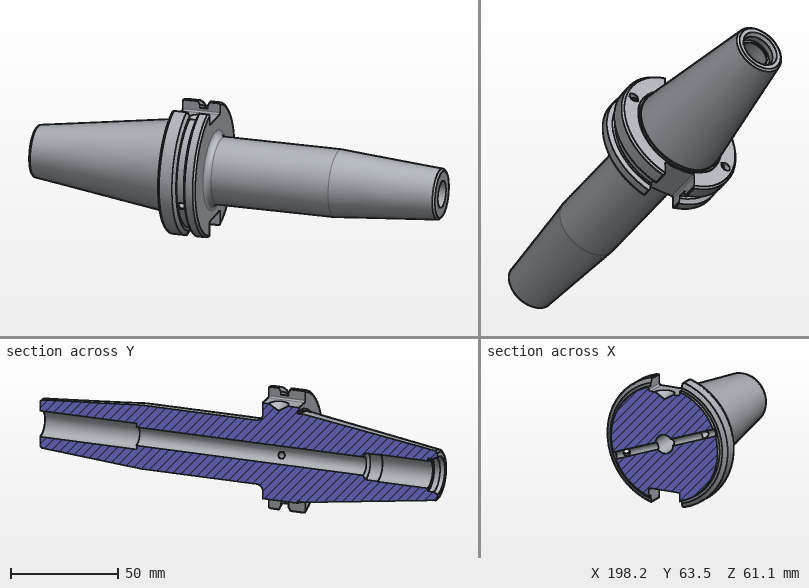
import cadquery as cq
import math

TOTAL_LENGTH = 198.25
GAUGE_X = 68.25
FLANGE_START_X = 69.0
FLANGE_END_X = GAUGE_X + 19.05
GROOVE_CENTER_X = GAUGE_X + 11.1

GAUGE_RADIUS = 44.45 / 2
TAPER_SLOPE = 7 / 24 / 2
TAPER_END_CHAMFER = 0.9
NECK_RADIUS = 43.8 / 2
FACE_RECESS_RADIUS = 46.2 / 2
FACE_RECESS_DEPTH = 0.8

FLANGE_RADIUS = 63.5 / 2
FLANGE_CHAMFER = 1.0
GROOVE_ROOT_RADIUS = 56.25 / 2
GROOVE_ROOT_WIDTH = 3.75
GROOVE_WALL_ANGLE = 30
GROOVE_V_DEPTH = 2.2

SLOT_WIDTH = 16.1
SLOT_FLOOR_FILLET = 0.8
SLOT_RIM_CHAMFER = 0.6
UPPER_SLOT_FLOOR_Z = 25.0
LOWER_SLOT_FLOOR_Z = -22.8
DIMPLE_DIAMETER = 9.53
DRILL_POINT_ANGLE = 118

SHANK_RADIUS = 32 / 2
SHANK_FILLET = 3.0
NOSE_END_RADIUS = 24 / 2
NOSE_ANGLE = 4.5
NOSE_CHAMFER = 1.0

PILOT_DIAMETER = 16.3
PILOT_DEPTH = 4.8
PILOT_CHAMFER_HEIGHT = 1.1
PILOT_CHAMFER_ANGLE = 30
THREAD_MOUTH_DIAMETER = 13.9
THREAD_DIAMETER = 13.39
THREAD_END_X = 30.0
THREAD_DRILL_DIAMETER = 13.0
THREAD_DRILL_END_X = 36.0
COOLANT_BORE_DIAMETER = 8.92
TOOL_BORE_DIAMETER = 12.7
TOOL_BORE_DEPTH = 48.0

ENTRY_DIAMETER = 4.2
ENTRY_DEPTH = 2.0
CHANNEL_FACE_RADIUS = 27.1
CHANNEL_TILT = 30
PLUG_MOUTH_DIAMETER = 4.0
PLUG_CORE_DIAMETER = 3.24
CHANNEL_ROLL_ANGLES = (20, 200)


def taper_radius(x):
    return GAUGE_RADIUS - TAPER_SLOPE * (GAUGE_X - x)


def cone_length(radius_change):
    return radius_change / math.tan(math.radians(DRILL_POINT_ANGLE / 2))


def make_outer_body():
    wall_run = GROOVE_V_DEPTH * math.tan(math.radians(GROOVE_WALL_ANGLE))
    half_root = GROOVE_ROOT_WIDTH / 2
    half_mouth = half_root + wall_run
    recess_floor_x = FLANGE_START_X + FACE_RECESS_DEPTH
    groove_v_bottom = FLANGE_RADIUS - GROOVE_V_DEPTH
    rim_chamfer_radius = FLANGE_RADIUS - FLANGE_CHAMFER
    nose_length = (SHANK_RADIUS - NOSE_END_RADIUS) / math.tan(math.radians(NOSE_ANGLE))
    chamfer_start_x = TOTAL_LENGTH - NOSE_CHAMFER
    nose_chamfer_radius = NOSE_END_RADIUS + NOSE_CHAMFER * math.tan(math.radians(NOSE_ANGLE))
    fillet_end = (FLANGE_END_X + SHANK_FILLET, SHANK_RADIUS)
    fillet_offset = SHANK_FILLET * (1 - math.sqrt(0.5))
    fillet_middle = (FLANGE_END_X + fillet_offset, SHANK_RADIUS + fillet_offset)
    profile = (
        cq.Workplane("XZ")
        .moveTo(0, 0)
        .lineTo(0, taper_radius(0) - TAPER_END_CHAMFER)
        .lineTo(TAPER_END_CHAMFER, taper_radius(TAPER_END_CHAMFER))
        .lineTo(GAUGE_X, GAUGE_RADIUS)
        .lineTo(GAUGE_X, NECK_RADIUS)
        .lineTo(recess_floor_x, NECK_RADIUS)
        .lineTo(recess_floor_x, FACE_RECESS_RADIUS)
        .lineTo(FLANGE_START_X, FACE_RECESS_RADIUS)
        .lineTo(FLANGE_START_X, rim_chamfer_radius)
        .lineTo(FLANGE_START_X + FLANGE_CHAMFER, FLANGE_RADIUS)
        .lineTo(GROOVE_CENTER_X - half_mouth, FLANGE_RADIUS)
        .lineTo(GROOVE_CENTER_X - half_root, groove_v_bottom)
        .lineTo(GROOVE_CENTER_X - half_root, GROOVE_ROOT_RADIUS)
        .lineTo(GROOVE_CENTER_X + half_root, GROOVE_ROOT_RADIUS)
        .lineTo(GROOVE_CENTER_X + half_root, groove_v_bottom)
        .lineTo(GROOVE_CENTER_X + half_mouth, FLANGE_RADIUS)
        .lineTo(FLANGE_END_X - FLANGE_CHAMFER, FLANGE_RADIUS)
        .lineTo(FLANGE_END_X, rim_chamfer_radius)
        .lineTo(FLANGE_END_X, SHANK_RADIUS + SHANK_FILLET)
        .threePointArc(fillet_middle, fillet_end)
        .lineTo(TOTAL_LENGTH - nose_length, SHANK_RADIUS)
        .lineTo(chamfer_start_x, nose_chamfer_radius)
        .lineTo(TOTAL_LENGTH, nose_chamfer_radius - NOSE_CHAMFER)
        .lineTo(TOTAL_LENGTH, 0)
        .close()
    )
    return profile.revolve(360, (0, 0, 0), (1, 0, 0))


def make_central_bore():
    pilot_radius = PILOT_DIAMETER / 2
    chamfer_depth = PILOT_CHAMFER_HEIGHT / math.tan(math.radians(PILOT_CHAMFER_ANGLE))
    thread_radius = THREAD_DIAMETER / 2
    thread_mouth_radius = THREAD_MOUTH_DIAMETER / 2
    thread_chamfer = thread_mouth_radius - thread_radius
    coolant_radius = COOLANT_BORE_DIAMETER / 2
    drill_radius = THREAD_DRILL_DIAMETER / 2
    drill_point_length = cone_length(drill_radius - coolant_radius)
    tool_radius = TOOL_BORE_DIAMETER / 2
    tool_bore_x = TOTAL_LENGTH - TOOL_BORE_DEPTH
    profile = (
        cq.Workplane("XZ")
        .moveTo(0, 0)
        .lineTo(0, pilot_radius + PILOT_CHAMFER_HEIGHT)
        .lineTo(chamfer_depth, pilot_radius)
        .lineTo(PILOT_DEPTH, pilot_radius)
        .lineTo(PILOT_DEPTH, thread_mouth_radius)
        .lineTo(PILOT_DEPTH + thread_chamfer, thread_radius)
        .lineTo(THREAD_END_X, thread_radius)
        .lineTo(THREAD_END_X, drill_radius)
        .lineTo(THREAD_DRILL_END_X, drill_radius)
        .lineTo(THREAD_DRILL_END_X + drill_point_length, coolant_radius)
        .lineTo(tool_bore_x, coolant_radius)
        .lineTo(tool_bore_x, tool_radius)
        .lineTo(TOTAL_LENGTH, tool_radius)
        .lineTo(TOTAL_LENGTH, 0)
        .close()
    )
    return profile.revolve(360, (0, 0, 0), (1, 0, 0))


def make_drive_slot(floor_z):
    flange_width = FLANGE_END_X - FLANGE_START_X
    height = FLANGE_RADIUS
    direction = math.copysign(1, floor_z)
    center_x = FLANGE_START_X + flange_width / 2
    slot = cq.Workplane("XY").box(flange_width, SLOT_WIDTH, height)
    floor_side = "<Z" if floor_z > 0 else ">Z"
    slot = slot.faces(floor_side).edges("|X").fillet(SLOT_FLOOR_FILLET)
    return slot.translate((center_x, 0, floor_z + direction * height / 2))


def make_dimple():
    radius = DIMPLE_DIAMETER / 2
    depth = cone_length(radius)
    apex_direction = cq.Vector(0, 0, -1)
    mouth_center = cq.Vector(GROOVE_CENTER_X, 0, UPPER_SLOT_FLOOR_Z)
    return cq.Workplane(cq.Solid.makeCone(radius, 0, depth, mouth_center, apex_direction))


def chamfer_slot_rims(body):
    rim_corner_z = math.sqrt(FLANGE_RADIUS**2 - (SLOT_WIDTH / 2) ** 2)
    for side in (1, -1):
        region = cq.selectors.BoxSelector(
            (FLANGE_START_X, -SLOT_WIDTH, side * rim_corner_z - SLOT_RIM_CHAMFER),
            (FLANGE_END_X, SLOT_WIDTH, side * rim_corner_z + SLOT_RIM_CHAMFER),
        )
        body = body.edges("|X").edges(region).chamfer(SLOT_RIM_CHAMFER)
    return body


def make_cylinder(diameter, start, direction, length):
    return cq.Workplane(cq.Solid.makeCylinder(diameter / 2, length, start, direction))


def make_coolant_channel(roll_angle):
    tilt = math.radians(CHANNEL_TILT)
    inward = cq.Vector(math.cos(tilt), -math.sin(tilt), 0)
    face_point = cq.Vector(FLANGE_START_X, CHANNEL_FACE_RADIUS, 0)
    channel_length = (GROOVE_CENTER_X - FLANGE_START_X) / math.cos(tilt)
    entry_start = face_point - inward * ENTRY_DIAMETER
    entry = make_cylinder(ENTRY_DIAMETER, entry_start, inward, ENTRY_DIAMETER + ENTRY_DEPTH)
    channel = make_cylinder(PLUG_CORE_DIAMETER, face_point, inward, channel_length)
    groove_point = cq.Vector(GROOVE_CENTER_X, GROOVE_ROOT_RADIUS, 0)
    toward_axis = cq.Vector(0, -1, 0)
    plug_hole = make_cylinder(PLUG_CORE_DIAMETER, groove_point, toward_axis, GROOVE_ROOT_RADIUS)
    countersink_depth = (PLUG_MOUTH_DIAMETER - PLUG_CORE_DIAMETER) / 2
    countersink = cq.Workplane(
        cq.Solid.makeCone(
            PLUG_MOUTH_DIAMETER / 2, PLUG_CORE_DIAMETER / 2, countersink_depth, groove_point, toward_axis
        )
    )
    cutter = entry.union(channel).union(plug_hole).union(countersink)
    return cutter.rotate((0, 0, 0), (1, 0, 0), roll_angle)


result = make_outer_body().cut(make_central_bore())
for slot_floor_z in (UPPER_SLOT_FLOOR_Z, LOWER_SLOT_FLOOR_Z):
    result = result.cut(make_drive_slot(slot_floor_z))
result = chamfer_slot_rims(result)
result = result.cut(make_dimple())
for channel_roll_angle in CHANNEL_ROLL_ANGLES:
    result = result.cut(make_coolant_channel(channel_roll_angle))